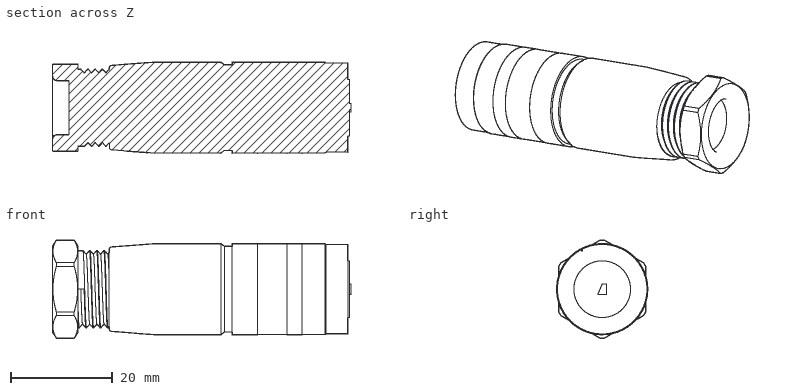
import cadquery as cq
import math

total_length = 58.75

nut_length = 5.05
nut_across_flats = 17.15
nut_corner_diameter = 19.3
nut_face_diameter = 16.9
nut_chamfer_length = 0.75

bore_diameter = 10.6
bore_depth = 3.25
bore_edge_radius = 1.0

thread_diameter = 15.2
thread_pitch = 1.4
thread_depth = 0.7
thread_groove_width = 1.3
thread_start_x = 5.6
joint_overlap = 0.6
cutter_clearance = 0.045

body_start = 11.15
shoulder_radius = 0.5
taper_start_diameter = 16.7
taper_end = 20.2
taper_bulge = 0.03
body_diameter = 18.0
body_end = 33.15

neck_diameter = 16.9
neck_start = 33.85
sleeve_start = 35.35

grip_end = 40.35
band_start = 46.1
band_end = 49.05
grip_diameter = 17.9
sleeve_end = 53.65

collar_diameter = 17.6
collar_start = 53.8
collar_end = 58.1
disc_diameter = 11.15
disc_end = 58.45
mark_height = 2.05
mark_width = 1.7


def cylinder(start, end, diameter):
    """Round bar along X between two stations."""
    return cq.Workplane("YZ", origin=(start, 0, 0)).circle(diameter / 2).extrude(end - start)


def make_nut():
    """Hexagon with corners up and down, trimmed to a round and chamfered on both faces."""
    hexagon = (
        cq.Workplane("YZ")
        .polygon(6, nut_across_flats, circumscribed=True)
        .extrude(nut_length)
    )
    corner_radius = nut_corner_diameter / 2
    face_radius = nut_face_diameter / 2
    envelope = (
        cq.Workplane("XY")
        .polyline([
            (0, 0),
            (0, face_radius),
            (nut_chamfer_length, corner_radius),
            (nut_length - nut_chamfer_length, corner_radius),
            (nut_length, face_radius),
            (nut_length, 0),
        ])
        .close()
        .revolve(360, (0, 0, 0), (1, 0, 0))
    )
    return hexagon.intersect(envelope)


def make_threaded_shank():
    """Shank with a right-handed V groove that starts on the -Y side and runs into the body."""
    radius = thread_diameter / 2
    root_radius = radius - thread_depth
    shank_start = nut_length - joint_overlap
    shank_end = body_start + joint_overlap
    half_width = thread_groove_width / 2 * (1 + cutter_clearance / thread_depth)
    shank = (
        cq.Workplane("XY", origin=(0, 0, shank_start - thread_start_x))
        .circle(radius)
        .extrude(shank_end - shank_start)
    )
    helix = cq.Wire.makeHelix(thread_pitch, shank_end - thread_start_x, root_radius)
    cutter = (
        cq.Workplane("XZ")
        .polyline([
            (root_radius, 0),
            (radius + cutter_clearance, half_width),
            (radius + cutter_clearance, -half_width),
        ])
        .close()
        .sweep(cq.Workplane(helix), isFrenet=True)
    )
    return (
        shank.cut(cutter)
        .rotate((0, 0, 0), (0, 1, 0), 90)
        .rotate((0, 0, 0), (1, 0, 0), -90)
        .translate((thread_start_x, 0, 0))
    )


def make_body():
    """Turned profile from the rear shoulder to the front collar."""
    taper_radius = taper_start_diameter / 2
    body_radius = body_diameter / 2
    neck_radius = neck_diameter / 2
    grip_radius = grip_diameter / 2
    collar_radius = collar_diameter / 2
    taper_start = body_start + shoulder_radius
    taper_middle = ((taper_start + taper_end) / 2, (taper_radius + body_radius) / 2 + taper_bulge)
    arc_offset = shoulder_radius * (1 - math.sqrt(0.5))
    return (
        cq.Workplane("XY")
        .moveTo(body_start, 0)
        .lineTo(body_start, taper_radius - shoulder_radius)
        .threePointArc((body_start + arc_offset, taper_radius - arc_offset), (taper_start, taper_radius))
        .threePointArc(taper_middle, (taper_end, body_radius))
        .lineTo(body_end, body_radius)
        .lineTo(neck_start, neck_radius)
        .lineTo(sleeve_start, neck_radius)
        .lineTo(sleeve_start, body_radius)
        .lineTo(grip_end, body_radius)
        .lineTo(grip_end, grip_radius)
        .lineTo(band_start, grip_radius)
        .lineTo(band_start, body_radius)
        .lineTo(band_end, body_radius)
        .lineTo(band_end, grip_radius)
        .lineTo(sleeve_end, grip_radius)
        .lineTo(collar_start, collar_radius)
        .lineTo(collar_end, collar_radius)
        .lineTo(collar_end, 0)
        .close()
        .revolve(360, (0, 0, 0), (1, 0, 0))
    )


def make_keying_mark():
    """Small raised mark on the end disc, with its -Y side sloping inward towards the top."""
    half_width = mark_width / 2
    half_height = mark_height / 2
    return (
        cq.Workplane("YZ", origin=(disc_end, 0, 0))
        .polyline([
            (-half_width, -half_height),
            (half_width, -half_height),
            (half_width, half_height),
            (0, half_height),
        ])
        .close()
        .extrude(total_length - disc_end)
    )


def make_cable_entry():
    """Blind bore with a rounded mouth, as a solid to cut away."""
    bore_radius = bore_diameter / 2
    mouth_radius = bore_radius + bore_edge_radius
    arc_offset = bore_edge_radius * (1 - math.sqrt(0.5))
    return (
        cq.Workplane("XY")
        .lineTo(0, mouth_radius)
        .threePointArc((arc_offset, bore_radius + arc_offset), (bore_edge_radius, bore_radius))
        .lineTo(bore_depth, bore_radius)
        .lineTo(bore_depth, 0)
        .close()
        .revolve(360, (0, 0, 0), (1, 0, 0))
    )


result = (
    make_threaded_shank()
    .union(make_nut())
    .union(make_body())
    .union(cylinder(collar_end, disc_end, disc_diameter))
    .union(make_keying_mark())
    .cut(make_cable_entry())
)